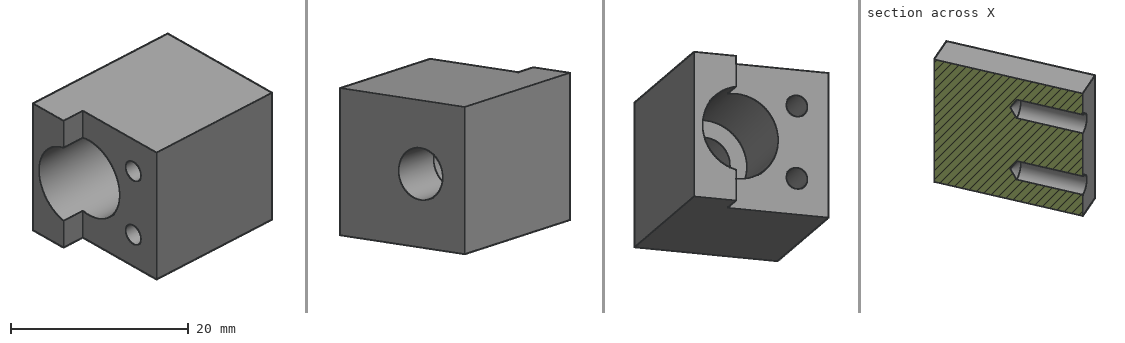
import cadquery as cq
import math

length = 21.0
side = 17.0

lip_width = 5.0
lip_depth = 3.0

bore_x = 6.0
bore_diameter = 6.0
counterbore_diameter = 10.0
counterbore_depth = 14.0

drill_x = 13.23
drill_spacing = side / 2
drill_diameter = 2.5
drill_depth = 8.0
drill_point_angle = 118.0


def cylinder_along_y(x, y, z, diameter, depth):
    """Cylinder that starts at (x, y, z) and runs toward +Y."""
    return cq.Workplane(cq.Solid.makeCylinder(
        diameter / 2, depth, cq.Vector(x, y, z), cq.Vector(0, 1, 0)))


def make_block():
    """L-shaped outline in plan, extruded over the full height."""
    outline = [
        (0, 0),
        (lip_width, 0),
        (lip_width, lip_depth),
        (side, lip_depth),
        (side, length),
        (0, length),
    ]
    return cq.Workplane("XY").polyline(outline).close().extrude(side / 2, both=True)


def make_stepped_bore():
    """Through bore with a wider counterbore at the front."""
    bore = cylinder_along_y(bore_x, 0, 0, bore_diameter, length)
    counterbore = cylinder_along_y(bore_x, 0, 0, counterbore_diameter, counterbore_depth)
    return bore.union(counterbore)


def make_drilled_hole(z):
    """Blind hole with a conical drill point at its bottom."""
    radius = drill_diameter / 2
    point_length = radius / math.tan(math.radians(drill_point_angle / 2))
    shank = cylinder_along_y(drill_x, lip_depth, z, drill_diameter, drill_depth)
    point = cq.Solid.makeCone(
        radius, 0, point_length,
        cq.Vector(drill_x, lip_depth + drill_depth, z), cq.Vector(0, 1, 0))
    return shank.union(cq.Workplane(point))


result = make_block().cut(make_stepped_bore())
for hole_z in (-drill_spacing / 2, drill_spacing / 2):
    result = result.cut(make_drilled_hole(hole_z))